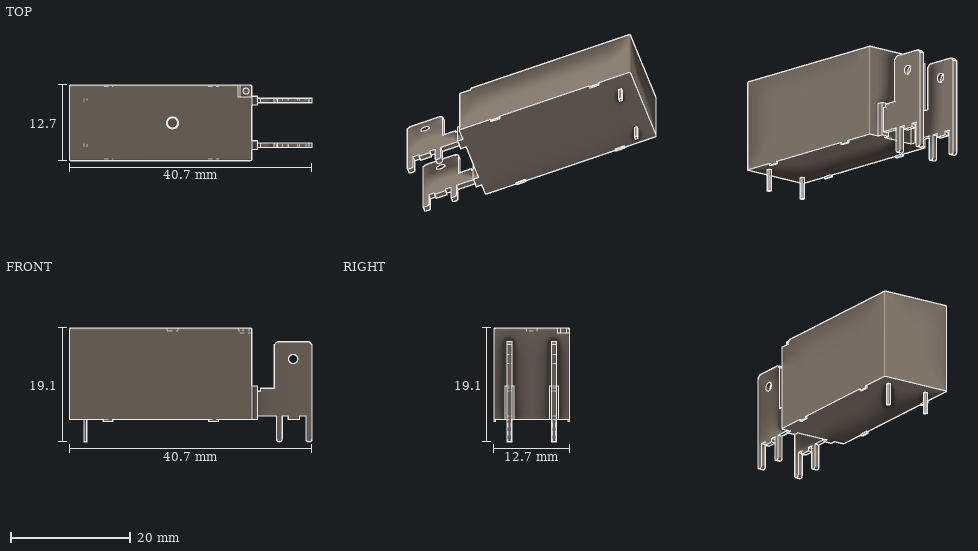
import cadquery as cq

body_length = 30.6
body_width = 12.7
body_height = 15.4
body_edge_radius = 0.3
total_length = 40.7

foot_length = 1.65
foot_width = 0.3
foot_height = 0.33
foot_starts_x = (5.65, 23.35)

dimple_x = 17.3
dimple_top_diameter = 2.0
dimple_floor_diameter = 1.7
dimple_depth = 0.5

notch_length = 2.35
notch_width = 2.0
notch_depth = 0.8
notch_slope_run = 0.4
stub_diameter = 1.0
stub_from_end = 0.98
stub_from_side = 1.0

row_offset_y = 3.75
pin_length = 3.7

small_pin_x = 2.7
small_pin_side = 0.5

collar_length = 0.98
collar_width = 1.5
collar_height = 5.65

blade_thickness = 0.8
arm_bottom_z = 0.6
neck_top_z = 4.8
neck_end_x = 32.05
arm_top_z = 5.3
tab_start_x = 34.35
tab_top_z = 13.1
tab_corner_chamfer = 0.53
tab_hole_diameter = 1.5
tab_hole_z = 10.18
stop_start_x = 36.67
stop_end_x = 38.62
blade_pin_tip_radius = 0.45
blade_pin_spans_x = ((34.7, 35.7), (39.65, total_length))


def box_between(x0, x1, y0, y1, z0, z1):
    """Box given by its limits on each axis."""
    return cq.Workplane("XY").box(x1 - x0, y1 - y0, z1 - z0, centered=False).translate((x0, y0, z0))


def plate_between(x0, x1, center_y, thickness, z0, z1):
    """Box centred on a row, given by its X and Z limits."""
    return box_between(x0, x1, center_y - thickness / 2, center_y + thickness / 2, z0, z1)


def make_housing():
    half_width = body_width / 2
    housing = box_between(0, body_length, -half_width, half_width, 0, body_height)
    return housing.edges("|Z or >Z").fillet(body_edge_radius)


def make_dimple():
    return (
        cq.Workplane("XY", origin=(dimple_x, 0, body_height - dimple_depth))
        .circle(dimple_floor_diameter / 2)
        .workplane(offset=dimple_depth)
        .circle(dimple_top_diameter / 2)
        .loft()
    )


def make_notch():
    top_x = body_length - notch_length
    floor_z = body_height - notch_depth
    return (
        cq.Workplane("XZ", origin=(0, body_width / 2, 0))
        .moveTo(top_x, body_height)
        .lineTo(top_x + notch_slope_run, floor_z)
        .lineTo(body_length, floor_z)
        .lineTo(body_length, body_height)
        .close()
        .extrude(notch_width)
    )


def make_stub():
    stub_x = body_length - stub_from_end
    stub_y = body_width / 2 - stub_from_side
    return (
        cq.Workplane("XY", origin=(stub_x, stub_y, body_height - notch_depth))
        .circle(stub_diameter / 2)
        .extrude(notch_depth)
    )


def make_feet():
    outer_y = body_width / 2
    inner_y = outer_y - foot_width
    feet = cq.Workplane("XY")
    for start_x in foot_starts_x:
        for y0, y1 in ((-outer_y, -inner_y), (inner_y, outer_y)):
            feet = feet.union(
                box_between(start_x, start_x + foot_length, y0, y1, -foot_height, 0)
            )
    return feet


def make_small_pin(row_y):
    return (
        cq.Workplane("XY", origin=(small_pin_x, row_y, -pin_length))
        .rect(small_pin_side, small_pin_side)
        .extrude(pin_length)
    )


def make_blade(row_y):
    collar_end_x = body_length + collar_length
    front_y = row_y + blade_thickness / 2
    plate = (
        cq.Workplane("XZ", origin=(0, front_y, 0))
        .moveTo(collar_end_x, arm_bottom_z)
        .lineTo(collar_end_x, neck_top_z)
        .lineTo(neck_end_x, neck_top_z)
        .lineTo(neck_end_x, arm_top_z)
        .lineTo(tab_start_x, arm_top_z)
        .lineTo(tab_start_x, tab_top_z - tab_corner_chamfer)
        .lineTo(tab_start_x + tab_corner_chamfer, tab_top_z)
        .lineTo(total_length - tab_corner_chamfer, tab_top_z)
        .lineTo(total_length, tab_top_z - tab_corner_chamfer)
        .lineTo(total_length, arm_bottom_z)
        .lineTo(stop_end_x, arm_bottom_z)
        .lineTo(stop_end_x, 0)
        .lineTo(stop_start_x, 0)
        .lineTo(stop_start_x, arm_bottom_z)
        .close()
        .extrude(blade_thickness)
    )
    hole = (
        cq.Workplane("XZ", origin=((tab_start_x + total_length) / 2, front_y, tab_hole_z))
        .circle(tab_hole_diameter / 2)
        .extrude(blade_thickness)
    )
    blade = plate.cut(hole)
    for start_x, end_x in blade_pin_spans_x:
        pin = plate_between(start_x, end_x, row_y, blade_thickness, -pin_length, arm_bottom_z)
        blade = blade.union(pin.edges("|Y and <Z").fillet(blade_pin_tip_radius))
    collar = plate_between(body_length, collar_end_x, row_y, collar_width, 0, collar_height)
    return blade.union(collar)


result = make_housing().cut(make_dimple()).cut(make_notch()).union(make_stub()).union(make_feet())
for row_y in (-row_offset_y, row_offset_y):
    result = result.union(make_small_pin(row_y)).union(make_blade(row_y))